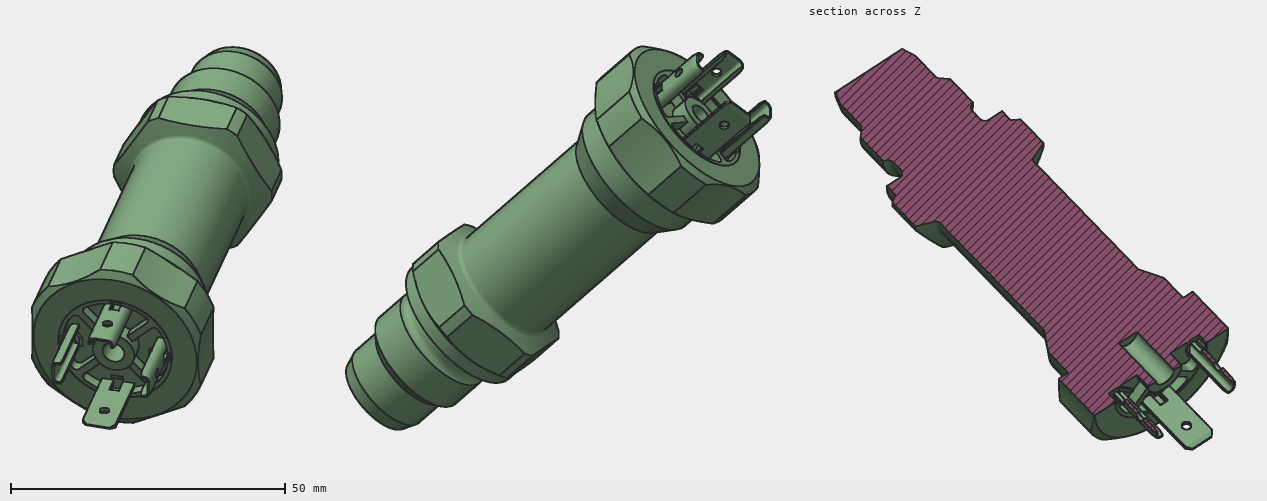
import cadquery as cq
import math


barrel_dia = 26.9
body_dia = 22.0
groove_dia = 18.5
thread_dia = 21.0
nose_dia = 17.5
nose_end_dia = 15.6

barrel_end = 16.2
cone_end = 20.6
body_end = 51.7
collar_start = 61.1
collar_end = 63.7
groove_end = 67.8
thread_start = 68.4
thread_end = 75.1
nose_start = 76.9
nose_chamfer_start = 83.1
nose_end = 85.9
groove_fillet = 1.2

hex_flats = 27.0
hex_corner_radius = 15.0
hex_rear_corner = 53.3
hex_front_corner = 60.1
hex_fillet = 0.8

nut_length = 10.6
lobe_radius = 33.9 / 2
lobe_half_angle = 10.5
flank_radius = 15.6
nut_face_radius = 15.5
nut_chamfer = (lobe_radius - nut_face_radius) * math.tan(math.radians(30))
lobe_count = 6

insert_radius = 10.8
insert_recess = 0.1
pocket_depth = 2.25
pocket_radius = 10.0
pocket_corner_fillet = 0.9
rib_width = 1.4
key_width = 2.0
key_radius = 10.5
boss_dia = 7.8
boss_height = 1.1
boss_bore_dia = 4.1
boss_bore_depth = 9.8
quarter_turns = (0, 90, 180, 270)

sheet = 0.8
contact_root = pocket_depth + 1.0
contact_hole_dia = 1.8
channel_width = 5.1
channel_outer = 9.4
channel_inner = 7.4
channel_bend = 1.4
channel_length = 10.0
channel_bevel_length = 1.2
channel_bevel = 0.2
channel_hole_place = 5.3
channel_turns = (-90, 0, 90)
blade_width = 6.2
blade_outer = 9.5
blade_length = 11.9
blade_tip_length = 1.0
blade_tip_width = 4.5
blade_tip_sheet = 0.3
blade_hole_place = 7.3

tab_width = 1.8
window_height = 0.8
tab_tip_inner = 6.3
tab_tip_outer = 6.8
tab_root_inner = 7.7
tab_root_outer = 8.3
tab_tip_depth = 0.4


def turn(shape, angle):
    """Rotate a shape about the plug axis."""
    return shape.rotate((0, 0, 0), (0, 1, 0), angle)


def revolve_profile(points):
    """Revolve a (radius, y) outline about the plug axis."""
    return cq.Workplane("XY").polyline(points).close().revolve(360, (0, 0, 0), (0, 1, 0))


def ring_edges(shape, radius, y):
    """Select the circular edge of the given radius at station y."""
    tol = 0.01
    low = (-radius - tol, y - tol, -radius - tol)
    high = (radius + tol, y + tol, radius + tol)
    return shape.edges(cq.selectors.BoxSelector(low, high, boundingbox=True))


def front_prism(sketch_plane_y):
    """Workplane across the axis at station y, extruding toward -Y."""
    return cq.Workplane("XZ", origin=(0, sketch_plane_y, 0))


def make_body():
    body = revolve_profile([
        (0, 0),
        (barrel_dia / 2, 0),
        (barrel_dia / 2, barrel_end),
        (body_dia / 2, cone_end),
        (body_dia / 2, collar_start),
        (barrel_dia / 2, collar_start),
        (barrel_dia / 2, collar_end),
        (groove_dia / 2, collar_end),
        (groove_dia / 2, groove_end),
        (thread_dia / 2, thread_start),
        (thread_dia / 2, thread_end),
        (nose_dia / 2, nose_start),
        (nose_dia / 2, nose_chamfer_start),
        (nose_end_dia / 2, nose_end),
        (0, nose_end),
    ])
    for y in (collar_end, groove_end):
        body = ring_edges(body, groove_dia / 2, y).fillet(groove_fillet)
    return body


def make_hexagon():
    length = collar_start - body_end
    prism = (
        front_prism(collar_start)
        .polygon(6, hex_flats, circumscribed=True)
        .extrude(length)
    )
    envelope = revolve_profile([
        (0, body_end),
        (body_dia / 2, body_end),
        (hex_corner_radius, hex_rear_corner),
        (hex_corner_radius, hex_front_corner),
        (barrel_dia / 2, collar_start),
        (0, collar_start),
    ])
    return turn(prism, 30).intersect(envelope)


def polar(radius, angle):
    a = math.radians(angle)
    return (radius * math.cos(a), radius * math.sin(a))


def make_nut():
    step = 360 / lobe_count
    outline = front_prism(nut_length).moveTo(*polar(lobe_radius, step / 2 - lobe_half_angle))
    for i in range(lobe_count):
        lobe = (i + 0.5) * step
        flank = (i + 1) * step
        outline = outline.threePointArc(
            polar(lobe_radius, lobe), polar(lobe_radius, lobe + lobe_half_angle)
        )
        outline = outline.threePointArc(
            polar(flank_radius, flank), polar(lobe_radius, lobe + step - lobe_half_angle)
        )
    envelope = revolve_profile([
        (0, 0),
        (nut_face_radius, 0),
        (lobe_radius, nut_chamfer),
        (lobe_radius, nut_length - nut_chamfer),
        (nut_face_radius, nut_length),
        (0, nut_length),
    ])
    return outline.close().extrude(nut_length).intersect(envelope)


def make_pocket():
    """Quarter pocket above the boss, between two diagonal ribs."""
    apex = rib_width / math.sqrt(2)
    reach = insert_radius
    wedge = (
        front_prism(pocket_depth)
        .polyline([(0, apex), (reach, apex + reach), (-reach, apex + reach)])
        .close()
        .extrude(pocket_depth)
    )
    disc = front_prism(pocket_depth).circle(pocket_radius).extrude(pocket_depth)
    corners = cq.selectors.BoxSelector((-reach, -1, boss_dia / 2), (reach, pocket_depth + 1, reach))
    pocket = wedge.intersect(disc).edges("|Y").edges(corners).fillet(pocket_corner_fillet)
    key = (
        front_prism(pocket_depth)
        .rect(key_width, 2 * insert_radius)
        .extrude(pocket_depth)
        .intersect(front_prism(pocket_depth).circle(key_radius).extrude(pocket_depth))
    )
    upper_half = cq.Workplane("XY").box(
        2 * reach, 2 * pocket_depth, reach, centered=(True, True, False)
    )
    return pocket.union(key.intersect(upper_half))


def make_tab():
    """Leaning spring tab on the pocket floor, on the +Z side."""
    return (
        cq.Workplane("YZ")
        .polyline([
            (contact_root, tab_root_inner),
            (pocket_depth, tab_root_inner),
            (tab_tip_depth, tab_tip_inner),
            (tab_tip_depth, tab_tip_outer),
            (pocket_depth, tab_root_outer),
            (contact_root, tab_root_outer),
        ])
        .close()
        .extrude(tab_width / 2, both=True)
    )


def cut_openings(contact, web_outer, hole_place):
    """Cut the round hole and the tab window through a contact web on the +Z side."""
    web_middle = web_outer - sheet / 2
    hole = (
        cq.Workplane("XY", origin=(0, -hole_place, web_middle))
        .circle(contact_hole_dia / 2)
        .extrude(sheet, both=True)
    )
    window = cq.Workplane("XY", origin=(0, (pocket_depth - window_height) / 2, web_middle)).box(
        tab_width, pocket_depth + window_height, 2 * sheet
    )
    return contact.cut(hole).cut(window)


def channel_outline(y):
    """U-shaped sheet section, open toward the axis."""
    half = channel_width / 2
    inner_bend = channel_bend - sheet
    bend_z = channel_outer - channel_bend
    bend_x = half - channel_bend
    s = math.sqrt(0.5)
    return (
        front_prism(y)
        .moveTo(-half, channel_inner)
        .lineTo(-half, bend_z)
        .threePointArc((-bend_x - channel_bend * s, bend_z + channel_bend * s), (-bend_x, channel_outer))
        .lineTo(bend_x, channel_outer)
        .threePointArc((bend_x + channel_bend * s, bend_z + channel_bend * s), (half, bend_z))
        .lineTo(half, channel_inner)
        .lineTo(half - sheet, channel_inner)
        .lineTo(half - sheet, bend_z)
        .threePointArc((bend_x + inner_bend * s, bend_z + inner_bend * s), (bend_x, channel_outer - sheet))
        .lineTo(-bend_x, channel_outer - sheet)
        .threePointArc((-bend_x - inner_bend * s, bend_z + inner_bend * s), (sheet - half, bend_z))
        .lineTo(sheet - half, channel_inner)
        .close()
    )


def make_channel_contact():
    straight_length = channel_length - channel_bevel_length
    taper = math.degrees(math.atan(channel_bevel / channel_bevel_length))
    contact = channel_outline(contact_root).extrude(contact_root + straight_length)
    tip = channel_outline(-straight_length).extrude(channel_bevel_length, taper=taper)
    return cut_openings(contact.union(tip), channel_outer, channel_hole_place)


def make_blade_contact():
    middle = blade_outer - sheet / 2
    straight_length = blade_length - blade_tip_length
    blade = (
        front_prism(contact_root)
        .center(0, middle)
        .rect(blade_width, sheet)
        .extrude(contact_root + straight_length)
    )
    tip = (
        front_prism(-straight_length)
        .center(0, middle)
        .rect(blade_width, sheet)
        .workplane(offset=blade_tip_length)
        .rect(blade_tip_width, blade_tip_sheet)
        .loft()
    )
    return cut_openings(blade.union(tip), blade_outer, blade_hole_place)


result = make_body().union(make_hexagon())
result = ring_edges(result, body_dia / 2, body_end).fillet(hex_fillet)
result = result.union(make_nut())

result = result.cut(front_prism(insert_recess).circle(insert_radius).extrude(insert_recess))
pocket = make_pocket()
for angle in quarter_turns:
    result = result.cut(turn(pocket, angle))
boss_root = contact_root
result = result.union(front_prism(boss_root).circle(boss_dia / 2).extrude(boss_root + boss_height))
result = result.cut(
    front_prism(boss_bore_depth).circle(boss_bore_dia / 2).extrude(boss_bore_depth + boss_height)
)

tab = make_tab()
for angle in quarter_turns:
    result = result.union(turn(tab, angle))
channel = make_channel_contact()
for angle in channel_turns:
    result = result.union(turn(channel, angle))
result = result.union(turn(make_blade_contact(), 180))